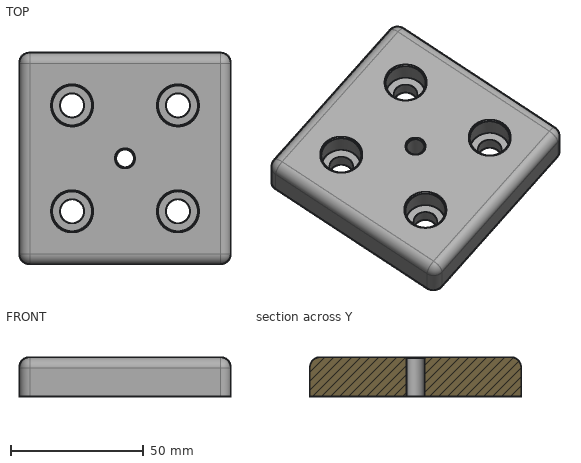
import cadquery as cq

side = 80.0
thickness = 15.0
edge_radius = 4.0

hole_spacing = 40.0
hole_diameter = 9.0
counterbore_diameter = 15.0
counterbore_depth = 9.0

center_hole_diameter = 6.65

rim_chamfer = 0.5
rim_chamfer_angle = 45.0


def rounded_plate():
    plate = cq.Workplane("XY").box(side, side, thickness, centered=(True, True, False))
    plate = plate.edges("|Z").fillet(edge_radius)
    return plate.faces(">Z").edges().fillet(edge_radius)


def rim_cone(diameter):
    """Conical cutter for the chamfer around a hole in the top face."""
    rim_radius = diameter / 2 + rim_chamfer
    return (
        cq.Workplane("XY", origin=(0, 0, thickness))
        .circle(rim_radius)
        .extrude(-rim_chamfer, taper=rim_chamfer_angle)
    )


def mounting_hole():
    through = cq.Workplane("XY").circle(hole_diameter / 2).extrude(thickness)
    counterbore = (
        cq.Workplane("XY", origin=(0, 0, thickness))
        .circle(counterbore_diameter / 2)
        .extrude(-counterbore_depth)
    )
    return through.union(counterbore).union(rim_cone(counterbore_diameter))


def center_hole():
    through = cq.Workplane("XY").circle(center_hole_diameter / 2).extrude(thickness)
    return through.union(rim_cone(center_hole_diameter))


result = rounded_plate().cut(center_hole())
for x_sign in (-1, 1):
    for y_sign in (-1, 1):
        position = (x_sign * hole_spacing / 2, y_sign * hole_spacing / 2, 0)
        result = result.cut(mounting_hole().translate(position))